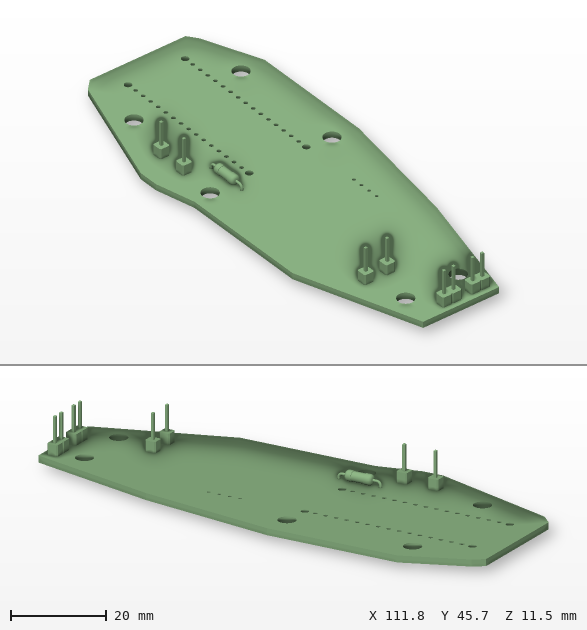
import cadquery as cq

BOARD_LENGTH = 111.8
BOARD_WIDTH = 45.7
BOARD_THICKNESS = 1.6

LEFT_EDGE_LOW = 12.6
LEFT_EDGE_HIGH = 38.1
LEFT_CORNER_X = 2.5
LEFT_CORNER_LOW = 10.2
LEFT_CORNER_HIGH = 39.9
TOP_EDGE_START = 17.0
TOP_EDGE_END = 48.6
SHOULDER_X = 81.0
UPPER_SHOULDER_Y = 40.7
RIGHT_EDGE_LOW = 12.7
RIGHT_EDGE_HIGH = 33.0
LOWER_SHELF_Y = 2.3
LOWER_SHELF_START = 48.2
TAB_START = 33.1
TAB_END = 38.1

MOUNT_HOLE_DIAMETER = 4.0
LEFT_MOUNT_X = 17.1
MIDDLE_MOUNT_X = 47.6
RIGHT_MOUNT_X = 102.8
UPPER_MOUNT_Y = 39.3
MOUNT_HOLE_CENTERS = [
    (LEFT_MOUNT_X, UPPER_MOUNT_Y),
    (LEFT_MOUNT_X, 10.8),
    (MIDDLE_MOUNT_X, UPPER_MOUNT_Y),
    (MIDDLE_MOUNT_X, 6.9),
    (RIGHT_MOUNT_X, 29.2),
    (RIGHT_MOUNT_X, 15.2),
]

SOCKET_START_X = 6.4
SOCKET_ROW_SPAN = 40.7
SOCKET_ROW_COUNT = 17
SOCKET_ROWS_Y = (17.8, 33.0)
SOCKET_HOLE_DIAMETER = 1.0
SOCKET_END_DIAMETER = 1.8
PITCH = SOCKET_ROW_SPAN / (SOCKET_ROW_COUNT - 1)

SENSOR_START_X = 62.5
SENSOR_Y = 33.4
SENSOR_HOLE_COUNT = 4
SMALL_HOLE_DIAMETER = 0.8

BLOCK_SIDE = PITCH
BLOCK_CHAMFER = 0.28
PIN_SIDE = 0.64
PIN_TIP_CHAMFER = 0.16
REACH_BELOW_BOARD = 1.3
TOTAL_HEIGHT = 11.5
PIN_HOLE_DIAMETER = SOCKET_HOLE_DIAMETER

FRONT_HEADER_Y = 7.5
INNER_HEADER_X = 92.6
EDGE_HEADER_X = 109.2
EDGE_PAIR_STARTS_Y = (20.3, 27.9)
HEADER_CENTERS = [
    (30.5, FRONT_HEADER_Y),
    (38.1, FRONT_HEADER_Y),
    (INNER_HEADER_X, 12.6),
    (INNER_HEADER_X, 18.3),
]
for pair_y in EDGE_PAIR_STARTS_Y:
    HEADER_CENTERS.append((EDGE_HEADER_X, pair_y))
    HEADER_CENTERS.append((EDGE_HEADER_X, pair_y + PITCH))

RESISTOR_CENTER = (45.8, 12.7)
RESISTOR_LENGTH = 6.6
CAP_DIAMETER = 2.5
CAP_LENGTH = 1.8
CAP_ROUNDING = 0.8
WAIST_DIAMETER = 2.2
LEAD_DIAMETER = 0.6
LEAD_SPACING = 4 * PITCH
LEAD_BEND_RADIUS = 0.9
LEAD_HOLE_DIAMETER = SMALL_HOLE_DIAMETER
RESISTOR_AXIS_Z = BOARD_THICKNESS + CAP_DIAMETER / 2
LEAD_CENTERS = [
    (RESISTOR_CENTER[0] + side * LEAD_SPACING / 2, RESISTOR_CENTER[1])
    for side in (-1, 1)
]


def row_of_points(start_x, y, count):
    """Points along X, one pitch apart."""
    return [(start_x + i * PITCH, y) for i in range(count)]


def drill(plate, centers, diameter):
    """Cut round through holes at the given centers."""
    drills = cq.Workplane("XY").pushPoints(centers).circle(diameter / 2).extrude(BOARD_THICKNESS)
    return plate.cut(drills)


def make_board():
    outline = [
        (0, LEFT_EDGE_LOW),
        (LEFT_CORNER_X, LEFT_CORNER_LOW),
        (TAB_START, 0),
        (TAB_END, 0),
        (LOWER_SHELF_START, LOWER_SHELF_Y),
        (SHOULDER_X, LOWER_SHELF_Y),
        (BOARD_LENGTH, RIGHT_EDGE_LOW),
        (BOARD_LENGTH, RIGHT_EDGE_HIGH),
        (SHOULDER_X, UPPER_SHOULDER_Y),
        (TOP_EDGE_END, BOARD_WIDTH),
        (TOP_EDGE_START, BOARD_WIDTH),
        (LEFT_CORNER_X, LEFT_CORNER_HIGH),
        (0, LEFT_EDGE_HIGH),
    ]
    plate = cq.Workplane("XY").polyline(outline).close().extrude(BOARD_THICKNESS)

    plate = drill(plate, MOUNT_HOLE_CENTERS, MOUNT_HOLE_DIAMETER)
    for row_y in SOCKET_ROWS_Y:
        row = row_of_points(SOCKET_START_X, row_y, SOCKET_ROW_COUNT)
        plate = drill(plate, [row[0], row[-1]], SOCKET_END_DIAMETER)
        plate = drill(plate, row[1:-1], SOCKET_HOLE_DIAMETER)
    sensor_row = row_of_points(SENSOR_START_X, SENSOR_Y, SENSOR_HOLE_COUNT)
    plate = drill(plate, sensor_row, SMALL_HOLE_DIAMETER)
    plate = drill(plate, HEADER_CENTERS, PIN_HOLE_DIAMETER)
    plate = drill(plate, LEAD_CENTERS, LEAD_HOLE_DIAMETER)
    return plate.solids().val()


def make_header(center):
    """Header block standing on the board, with its pin reaching through the board."""
    x, y = center
    block = (
        cq.Workplane("XY", origin=(x, y, BOARD_THICKNESS))
        .rect(BLOCK_SIDE, BLOCK_SIDE)
        .extrude(BLOCK_SIDE)
        .edges("|Z")
        .chamfer(BLOCK_CHAMFER)
    )
    pin = (
        cq.Workplane("XY", origin=(x, y, -REACH_BELOW_BOARD))
        .rect(PIN_SIDE, PIN_SIDE)
        .extrude(TOTAL_HEIGHT)
        .faces("<Z or >Z")
        .chamfer(PIN_TIP_CHAMFER)
    )
    return block.union(pin).solids().val()


def make_resistor():
    """Dumbbell body with two leads bent down through the board."""
    x, y = RESISTOR_CENTER
    body_start = x - RESISTOR_LENGTH / 2

    def cylinder_along_x(start_x, diameter, length):
        return (
            cq.Workplane("YZ", origin=(start_x, y, RESISTOR_AXIS_Z))
            .circle(diameter / 2)
            .extrude(length)
        )

    left_cap = cylinder_along_x(body_start, CAP_DIAMETER, CAP_LENGTH)
    left_cap = left_cap.faces("<X").edges().fillet(CAP_ROUNDING)
    right_cap = left_cap.mirror("YZ", (x, y, RESISTOR_AXIS_Z))
    waist = cylinder_along_x(
        body_start + CAP_LENGTH, WAIST_DIAMETER, RESISTOR_LENGTH - 2 * CAP_LENGTH
    )

    lead_x = LEAD_CENTERS[0][0]
    bend_start_z = RESISTOR_AXIS_Z - LEAD_BEND_RADIUS
    lead_path = (
        cq.Workplane("XZ", origin=(0, y, 0))
        .moveTo(lead_x, -REACH_BELOW_BOARD)
        .lineTo(lead_x, bend_start_z)
        .tangentArcPoint((LEAD_BEND_RADIUS, LEAD_BEND_RADIUS), relative=True)
        .lineTo(body_start + CAP_LENGTH, RESISTOR_AXIS_Z)
    )
    left_lead = (
        cq.Workplane("XY", origin=(lead_x, y, -REACH_BELOW_BOARD))
        .circle(LEAD_DIAMETER / 2)
        .sweep(lead_path)
    )
    right_lead = left_lead.mirror("YZ", (x, y, RESISTOR_AXIS_Z))

    body = waist.union(left_cap).union(right_cap)
    return body.union(left_lead).union(right_lead).solids().val()


board = make_board()
resistor = make_resistor()
headers = [make_header(center) for center in HEADER_CENTERS]

result = cq.Compound.makeCompound([board, resistor, *headers])